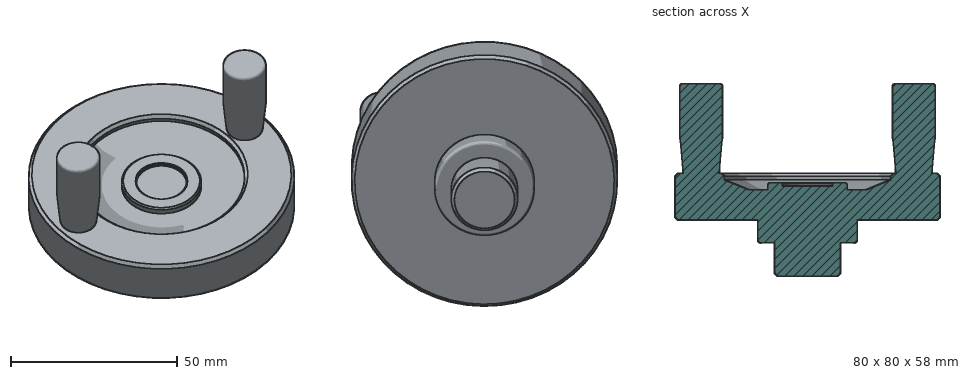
import cadquery as cq

wheel_diameter = 80.0
overall_height = 58.0
edge_break = 1.0

hub_diameter = 20.0
hub_height = 10.0
shoulder_diameter = 30.0

rim_bottom = 16.9
rim_top = 31.0

dish_diameter = 50.0
dish_floor_diameter = 35.4
dish_wall_depth = 2.0
dish_depth = 5.0
dish_wall_bottom = rim_top - dish_wall_depth
dish_floor = rim_top - dish_depth
dish_corner_radius = 2.5

ring_diameter = 24.0
ring_height = 2.1
ring_top = dish_floor + ring_height
ring_edge_break = 0.5
recess_diameter = 15.0
recess_depth = 1.0
recess_floor = ring_top - recess_depth
recess_edge_break = 0.3

handle_diameter = 13.0
handle_base_diameter = 11.1
handle_foot_height = 0.5
handle_foot_inset = 0.2
handle_grip_bottom = 42.0
handle_offset = 32.0


def disc(diameter, bottom, top):
    """Upright cylinder on the wheel axis."""
    return cq.Workplane("XY").workplane(offset=bottom).circle(diameter / 2).extrude(top - bottom)


def turn(points):
    """Solid of revolution about Z from (radius, z) points."""
    return cq.Workplane("XZ").polyline(points).close().revolve(360, (0, 0), (0, 1))


def make_wheel():
    """Chamfered rim on a rounded shoulder and a chamfered hub."""
    rim = disc(wheel_diameter, rim_bottom, rim_top).edges().chamfer(edge_break)
    shoulder = disc(shoulder_diameter, hub_height, rim_top).faces("<Z").edges().fillet(edge_break)
    hub = disc(hub_diameter, 0, rim_top).faces("<Z").edges().chamfer(edge_break)
    return rim.union(shoulder).union(hub)


def make_dish():
    """Dish volume: chamfered mouth, short straight wall, sloping side, flat floor."""
    wall_radius = dish_diameter / 2
    dish = turn([
        (0, dish_floor),
        (dish_floor_diameter / 2, dish_floor),
        (wall_radius, dish_wall_bottom),
        (wall_radius, rim_top - edge_break),
        (wall_radius + edge_break, rim_top),
        (0, rim_top),
    ])
    return dish.faces("<Z").edges().fillet(dish_corner_radius)


def make_ring():
    """Solid plug of the raised ring, chamfered around its top."""
    return disc(ring_diameter, rim_bottom, ring_top).faces(">Z").edges().chamfer(ring_edge_break)


def make_recess():
    """Recess volume with a chamfered mouth."""
    radius = recess_diameter / 2
    return turn([
        (0, recess_floor),
        (radius, recess_floor),
        (radius, ring_top - recess_edge_break),
        (radius + recess_edge_break, ring_top),
        (0, ring_top),
    ])


def make_handle():
    """Handle on the wheel axis: short foot, tapered neck, straight grip with a rounded end."""
    base_radius = handle_base_diameter / 2
    grip_radius = handle_diameter / 2
    handle = turn([
        (0, rim_top),
        (base_radius - handle_foot_inset, rim_top),
        (base_radius, rim_top + handle_foot_height),
        (grip_radius, handle_grip_bottom),
        (grip_radius, overall_height),
        (0, overall_height),
    ])
    return handle.faces(">Z").edges().fillet(edge_break)


result = make_wheel().cut(make_dish()).union(make_ring()).cut(make_recess())
for side in (-1, 1):
    result = result.union(make_handle().translate((0, side * handle_offset, 0)))